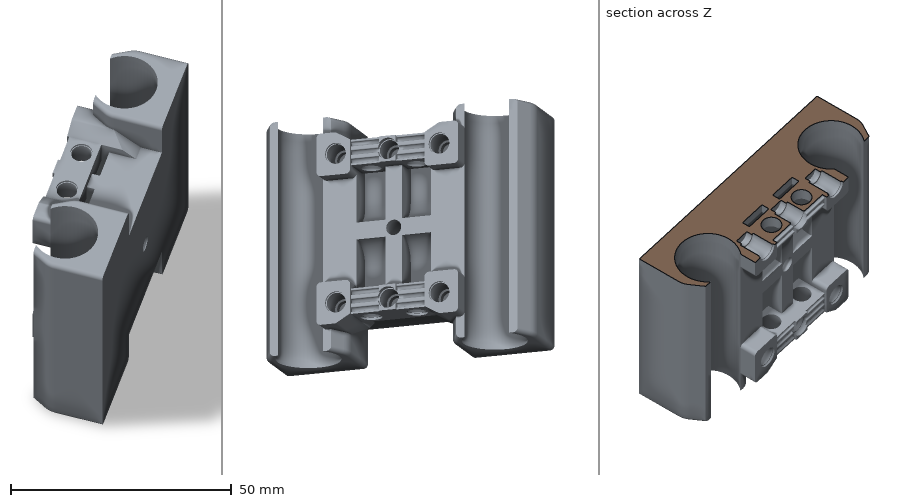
import cadquery as cq
import math


clip_length = 55.0
clip_width = 20.0
clip_spacing = 45.0
clip_depth = 17.2
tube_diameter = 15.0
tube_wall = 4.5
jaw_start = 12.7
jaw_angle = 30.0
jaw_round = 5.0
clip_end_round = 1.0

web_half_height = 22.5
bridge_half_height = 20.5
plate_half_height = 18.4
web_inner_y = 9.0
web_step_depth = 5.0
web_slope_depth = 11.4
corner_round = 1.0

pad_front = 21.4
pad_height = 10.0
bridge_height = 6.0
bridge_back = 13.3
belt_seat_depth = 0.5
rib_half_width = 2.0

channel_floor = 11.4
channel_lip_z = 2.0
channel_radius = 5.0

tooth_pitch = 2.0
tooth_count = 3
tooth_depth = 0.75
tooth_radius = 0.5
tooth_lip_round = 0.2

insert_diameter = 4.6
insert_depth = 6.0
insert_mouth_diameter = 5.0
insert_mouth_depth = 0.5
bridge_mouth_depth = 1.4
screw_diameter = 3.6
screw_depth = 7.5
insert_y = 12.5
cross_hole_y = 5.5
cross_hole_depth = 16.9

clip_y = clip_spacing / 2
clip_inner_y = clip_y - clip_width / 2
tube_depth = tube_wall + tube_diameter / 2
tube_mouth_half = math.sqrt((tube_diameter / 2) ** 2 - (clip_depth - tube_depth) ** 2)
pad_outer_y = clip_y - tube_mouth_half
row_z = web_half_height - pad_height / 2
bridge_inner_z = bridge_half_height - bridge_height
belt_face = pad_front - belt_seat_depth
belt_starts = (-web_inner_y, rib_half_width)
belt_width = web_inner_y - rib_half_width
SIDES = (-1, 1)
HALF_RIGHT_ANGLE = math.radians(45)


def box(depths, ys, zs):
    """Axis-aligned block between two depths, two y values and two z values."""
    size = (depths[1] - depths[0], ys[1] - ys[0], zs[1] - zs[0])
    return cq.Workplane("XY").box(*size, centered=False).translate((-depths[1], ys[0], zs[0]))


def x_cylinder(diameter, front, back, y, z):
    """Cylinder along X between two depths."""
    face = cq.Workplane("YZ", origin=(-front, y, z))
    return face.circle(diameter / 2).extrude(front - back)


def both_ends(shape):
    """The shape together with its mirror image below the plane z = 0."""
    return shape.union(shape.mirror("XY"))


def clip_body(y):
    """Solid clip block with tapered jaws and rounded ends, before the tube bore."""
    half = clip_width / 2
    tip_half = half - (clip_depth - jaw_start) * math.tan(math.radians(jaw_angle))
    outline = [
        (0, -half),
        (-jaw_start, -half),
        (-clip_depth, -tip_half),
        (-clip_depth, tip_half),
        (-jaw_start, half),
        (0, half),
    ]
    body = cq.Workplane("XY").polyline(outline).close().extrude(clip_length / 2, both=True)
    reach = (clip_depth - jaw_start) / 2
    jaw_edges = cq.selectors.BoxSelector(
        (-clip_depth + reach, -clip_width, -clip_length),
        (-reach, clip_width, clip_length),
    )
    body = body.edges("|Z").edges(jaw_edges).fillet(jaw_round)
    for side in (">Y", "<Y"):
        body = body.faces(side).edges("|X").fillet(clip_end_round)
    return body.translate((0, y, 0))


def tube_bore(y):
    """Bore along Z that opens the clip towards the front."""
    axis = cq.Workplane("XY").center(-tube_depth, y)
    return axis.circle(tube_diameter / 2).extrude(clip_length / 2, both=True)


def plate():
    """Plate between the clips: full height behind the belt channels, lower in front of them."""
    rear = box((0, bridge_back), (-clip_inner_y, clip_inner_y), (-plate_half_height, plate_half_height))
    front = box((0, clip_depth), (-clip_inner_y, clip_inner_y), (-bridge_inner_z, bridge_inner_z))
    return rear.union(front)


def pad_outline(z_inner):
    """Outline in Y and Z of a pad on the +Y side, running down to z_inner."""
    return [
        (web_inner_y, z_inner),
        (pad_outer_y, z_inner),
        (pad_outer_y, web_half_height),
        (clip_inner_y, web_half_height),
        (web_inner_y, bridge_half_height),
    ]


def round_pad_corner(body, y, z):
    """Round the edge along X that passes through the given y and z."""
    reach = corner_round / 2
    corner = cq.selectors.BoxSelector(
        (-pad_front - reach, y - reach, z - reach),
        (reach, y + reach, z + reach),
    )
    return body.edges("|X").edges(corner).fillet(corner_round)


def web():
    """Upper half of the +Y web, sloping down behind to the plate."""
    face = cq.Workplane("YZ", origin=(-clip_depth, 0, 0))
    body = face.polyline(pad_outline(0)).close().extrude(clip_depth)
    body = round_pad_corner(body, clip_inner_y, web_half_height)
    body = round_pad_corner(body, pad_outer_y, web_half_height)
    slope = [
        (-web_step_depth, plate_half_height),
        (-web_slope_depth, web_half_height),
        (0, web_half_height),
        (0, plate_half_height),
    ]
    relief = cq.Workplane("XZ").polyline(slope).close().extrude(-clip_y)
    return body.cut(relief)


def pad():
    """Upper +Y pad, standing forward of the web."""
    z_inner = web_half_height - pad_height
    face = cq.Workplane("YZ", origin=(-pad_front, 0, 0))
    body = face.polyline(pad_outline(z_inner)).close().extrude(pad_front - clip_depth)
    body = round_pad_corner(body, clip_inner_y, web_half_height)
    for y, z in ((pad_outer_y, web_half_height), (pad_outer_y, z_inner), (web_inner_y, z_inner)):
        body = round_pad_corner(body, y, z)
    return body


def tooth_cutter(y, z, length):
    """Round-bottomed belt tooth groove along Y with rounded lips."""
    wall = tooth_radius
    lip = wall + tooth_lip_round
    lip_mid = lip - tooth_lip_round * math.cos(HALF_RIGHT_ANGLE)
    lip_mid_depth = tooth_lip_round * (1 - math.sin(HALF_RIGHT_ANGLE))
    wall_end = tooth_depth - tooth_radius
    profile = (
        cq.Workplane("XZ", origin=(-belt_face, y, z))
        .moveTo(0, -lip)
        .threePointArc((lip_mid_depth, -lip_mid), (tooth_lip_round, -wall))
        .lineTo(wall_end, -wall)
        .threePointArc((tooth_depth, 0), (wall_end, wall))
        .lineTo(tooth_lip_round, wall)
        .threePointArc((lip_mid_depth, lip_mid), (0, lip))
        .close()
    )
    return profile.extrude(-length)


def bridge():
    """Upper bridge between the pads: a centre ridge and toothed belt seats on both sides."""
    z_range = (bridge_inner_z, bridge_half_height)
    body = box((bridge_back, belt_face), (-web_inner_y, web_inner_y), z_range)
    body = body.union(box((bridge_back, pad_front), (-rib_half_width, rib_half_width), z_range))
    for start_y in belt_starts:
        for index in range(tooth_count):
            z = row_z + (index - (tooth_count - 1) / 2) * tooth_pitch
            body = body.cut(tooth_cutter(start_y, z, belt_width))
    return body


def channel(start_y):
    """Upper belt channel: enters at the front, curves upward and leaves behind the bridge."""
    curve_x = -(channel_floor + channel_radius)
    curve_z = channel_lip_z + channel_radius
    bend = channel_radius * math.sin(HALF_RIGHT_ANGLE)
    profile = (
        cq.Workplane("XZ", origin=(0, start_y, 0))
        .moveTo(-clip_depth, channel_lip_z)
        .lineTo(curve_x, channel_lip_z)
        .threePointArc((curve_x + bend, curve_z - bend), (-channel_floor, curve_z))
        .lineTo(-channel_floor, bridge_half_height)
        .lineTo(-bridge_back, bridge_half_height)
        .lineTo(-bridge_back, bridge_inner_z)
        .lineTo(-clip_depth, bridge_inner_z)
        .close()
    )
    return profile.extrude(-belt_width)


def insert_hole(y, mouth_depth):
    """Stepped blind hole along X for a threaded insert."""
    mouth = x_cylinder(insert_mouth_diameter, pad_front, pad_front - mouth_depth, y, row_z)
    bore = x_cylinder(insert_diameter, pad_front, pad_front - insert_depth, y, row_z)
    screw = x_cylinder(screw_diameter, pad_front, pad_front - screw_depth, y, row_z)
    return mouth.union(bore).union(screw)


def cross_hole(y):
    """Hole along Z through the upper bridge, with a stepped mouth on its outer face."""
    start = cq.Workplane("XY", origin=(-cross_hole_depth, y, bridge_half_height))
    bore = start.circle(insert_diameter / 2).extrude(-bridge_height)
    mouth = start.circle(insert_mouth_diameter / 2).extrude(-insert_mouth_depth)
    return bore.union(mouth)


body = plate()
for side in SIDES:
    body = body.union(clip_body(side * clip_y))
corner = both_ends(web().union(pad()))
body = body.union(corner).union(corner.mirror("XZ"))
body = body.union(both_ends(bridge()))
for side in SIDES:
    body = body.cut(tube_bore(side * clip_y))
for start_y in belt_starts:
    body = body.cut(both_ends(channel(start_y)))
for side in SIDES:
    body = body.cut(both_ends(insert_hole(side * insert_y, insert_mouth_depth)))
body = body.cut(both_ends(insert_hole(0, bridge_mouth_depth)))
for side in SIDES:
    body = body.cut(both_ends(cross_hole(side * cross_hole_y)))
result = body.cut(x_cylinder(screw_diameter, clip_depth, 0, 0, 0))